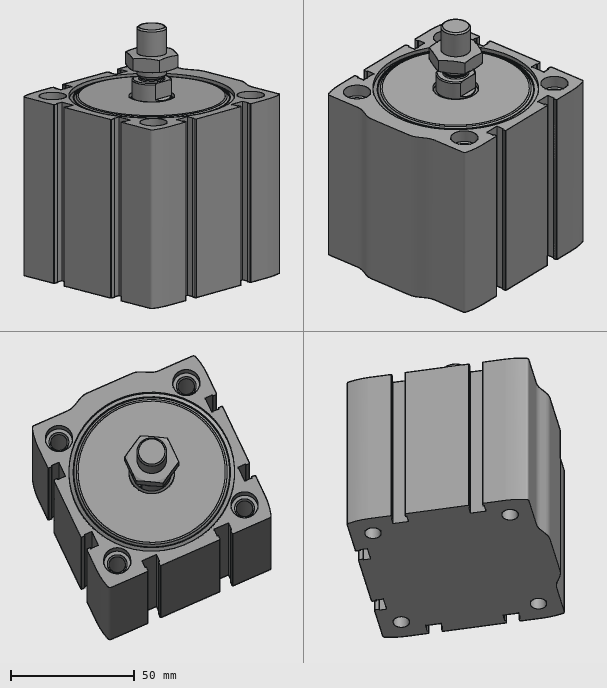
import cadquery as cq
import math


barrel_width = 75.0
barrel_height = 75.0
half_width = barrel_width / 2
crown_rise = 3.5
crown_half_flat = 11.8
crown_half_foot = 18.5
crown_blend_radius = 8.0
flank_start = 28.3
flank_inset = 1.45
corner_radius = 1.2

slot_offset = 16.0
slot_mouth = 5.4
slot_inner = 6.4
slot_depth = 5.0
slot_mouth_bevel = 0.3
side_slot_lip = 1.7
front_slot_lip = 2.0

bolt_spacing = 56.6
bolt_hole_diameter = 6.65
counterbore_diameter = 11.0
counterbore_depth = 5.0
countersink_diameter = 8.0

bore_diameter = 67.0
bore_wall_depth = 1.65
lip_outer_diameter = 63.6
lip_depth = 0.7
groove_diameter = 63.0
groove_depth = 1.25
bevel_outer_diameter = 61.0
bevel_depth = 0.35
cover_flat_diameter = 59.5
cover_recess = 0.1
wiper_diameter = 18.5
wiper_lip_depth = 0.6

rod_diameter = 16.0
rod_flats = 13.0
flats_bottom = barrel_height + 0.4
flats_runout_drop = 0.7
shoulder_top = 82.1
shoulder_chamfer = 0.5
neck_diameter = 9.8
neck_foot_diameter = 10.65
thread_diameter = 12.0
thread_end_diameter = 10.65
thread_start = 84.15
rod_tip = 104.0

nut_across_flats = 19.0
nut_bottom = 87.2
nut_height = 5.8
nut_bevel_angle = 15.0

cover_face = barrel_height - cover_recess
rod_seat = barrel_height - wiper_lip_depth


def revolved(points):
    """Solid of revolution about Z from a closed (radius, z) outline."""
    return cq.Workplane("XZ").polyline(points).close().revolve(360, (0, 0, 0), (0, 1, 0))


def barrel_blank():
    """Square extrusion with curved-in flanks and a raised crown on +Y."""
    corner_x = half_width - flank_inset
    crown_top = half_width + crown_rise

    run = half_width - flank_start
    flank_radius = (run ** 2 + flank_inset ** 2) / (2 * flank_inset)
    half_angle = math.asin(run / flank_radius) / 2
    mid_x = half_width - flank_radius * (1 - math.cos(half_angle))
    mid_y = flank_start + flank_radius * math.sin(half_angle)

    blank = (
        cq.Workplane("XY")
        .moveTo(-corner_x, -half_width)
        .lineTo(corner_x, -half_width)
        .threePointArc((mid_x, -mid_y), (half_width, -flank_start))
        .lineTo(half_width, flank_start)
        .threePointArc((mid_x, mid_y), (corner_x, half_width))
        .lineTo(crown_half_foot, half_width)
        .lineTo(crown_half_flat, crown_top)
        .lineTo(-crown_half_flat, crown_top)
        .lineTo(-crown_half_foot, half_width)
        .lineTo(-corner_x, half_width)
        .threePointArc((-mid_x, mid_y), (-half_width, flank_start))
        .lineTo(-half_width, -flank_start)
        .threePointArc((-mid_x, -mid_y), (-corner_x, -half_width))
        .close()
        .extrude(barrel_height)
    )
    roundings = (
        (corner_x, -half_width, corner_radius),
        (corner_x, half_width, corner_radius),
        (crown_half_foot, half_width, crown_blend_radius),
        (crown_half_flat, crown_top, crown_blend_radius),
    )
    for x, y, radius in roundings:
        for side in (-1, 1):
            edge = cq.selectors.NearestToPointSelector((side * x, y, barrel_height / 2))
            blank = blank.edges("|Z").edges(edge).fillet(radius)
    return blank


def slot_cutter(lip):
    """Full-height T-slot opening toward +X, centred on the X axis."""
    floor_x = half_width - slot_depth
    lip_x = half_width - lip
    bevel_x = half_width - slot_mouth_bevel
    half_mouth = slot_mouth / 2
    half_inner = slot_inner / 2
    half_opening = half_mouth + slot_mouth_bevel
    upper = [
        (floor_x, half_inner),
        (lip_x, half_inner),
        (lip_x, half_mouth),
        (bevel_x, half_mouth),
        (half_width, half_opening),
    ]
    lower = [(x, -y) for x, y in reversed(upper)]
    return cq.Workplane("XY").polyline(upper + lower).close().extrude(barrel_height)


def cut_slots(barrel):
    """Two slots on each of the -X, +X and -Y faces."""
    side_slot = slot_cutter(side_slot_lip)
    front_slot = slot_cutter(front_slot_lip).rotate((0, 0, 0), (0, 0, 1), -90)
    for side in (-1, 1):
        right_slot = side_slot.translate((0, side * slot_offset, 0))
        barrel = barrel.cut(right_slot)
        barrel = barrel.cut(right_slot.mirror("YZ"))
        barrel = barrel.cut(front_slot.translate((side * slot_offset, 0, 0)))
    return barrel


def cut_mounting_holes(barrel):
    """Counterbored through holes, the counterbore floor countersunk into the hole."""
    hole_radius = bolt_hole_diameter / 2
    countersink_radius = countersink_diameter / 2
    counterbore_radius = counterbore_diameter / 2
    floor_z = barrel_height - counterbore_depth
    cutter = revolved([
        (0, 0),
        (hole_radius, 0),
        (hole_radius, floor_z - (countersink_radius - hole_radius)),
        (countersink_radius, floor_z),
        (counterbore_radius, floor_z),
        (counterbore_radius, barrel_height),
        (0, barrel_height),
    ])
    for side_x in (-1, 1):
        for side_y in (-1, 1):
            barrel = barrel.cut(cutter.translate((side_x * bolt_spacing / 2, side_y * bolt_spacing / 2, 0)))
    return barrel


def cut_head_cover(barrel):
    """Sunken cover face with its retaining-ring grooves and the wiper groove round the rod."""
    rod_radius = rod_diameter / 2
    wiper_radius = wiper_diameter / 2
    recess = revolved([
        (0, barrel_height),
        (0, rod_seat),
        (rod_radius, rod_seat),
        (wiper_radius, rod_seat - (wiper_radius - rod_radius)),
        (wiper_radius, cover_face),
        (cover_flat_diameter / 2, cover_face),
        (bevel_outer_diameter / 2, barrel_height - bevel_depth),
        (groove_diameter / 2, barrel_height - groove_depth),
        (groove_diameter / 2, barrel_height - lip_depth),
        (lip_outer_diameter / 2, barrel_height - lip_depth),
        (bore_diameter / 2, barrel_height - bore_wall_depth),
        (bore_diameter / 2, barrel_height),
    ])
    return barrel.cut(recess)


def make_barrel():
    barrel = cut_slots(barrel_blank())
    barrel = cut_mounting_holes(barrel)
    return cut_head_cover(barrel)


def make_rod():
    """Rod standing on its seat inside the wiper groove, with wrench flats, relief neck and threaded end."""
    rod_radius = rod_diameter / 2
    neck_radius = neck_diameter / 2
    neck_foot_radius = neck_foot_diameter / 2
    thread_radius = thread_diameter / 2
    thread_end_radius = thread_end_diameter / 2
    thread_chamfer = thread_radius - thread_end_radius
    rod = revolved([
        (0, rod_seat),
        (rod_radius, rod_seat),
        (rod_radius, shoulder_top - shoulder_chamfer),
        (rod_radius - shoulder_chamfer, shoulder_top),
        (neck_foot_radius, shoulder_top),
        (neck_radius, shoulder_top + (neck_foot_radius - neck_radius)),
        (neck_radius, thread_start - (thread_radius - neck_radius)),
        (thread_radius, thread_start),
        (thread_radius, rod_tip - thread_chamfer),
        (thread_end_radius, rod_tip),
        (0, rod_tip),
    ])
    flat_x = rod_flats / 2
    flat_profile = [
        (flat_x, shoulder_top),
        (flat_x, flats_bottom),
        (rod_radius, flats_bottom - flats_runout_drop),
        (rod_radius, shoulder_top),
    ]
    flat_cutter = cq.Workplane("XZ").polyline(flat_profile).close().extrude(rod_radius, both=True)
    return rod.cut(flat_cutter).cut(flat_cutter.mirror("YZ"))


def make_nut():
    """Hex nut with two flats facing -X and +X and turned bevels on both faces."""
    across_corners = nut_across_flats / math.cos(math.radians(30))
    flat_radius = nut_across_flats / 2
    point_radius = across_corners / 2
    nut_top = nut_bottom + nut_height
    bevel_drop = (point_radius - flat_radius) * math.tan(math.radians(nut_bevel_angle))
    hexagon = (
        cq.Workplane("XY", origin=(0, 0, nut_bottom))
        .polygon(6, across_corners)
        .extrude(nut_height)
        .rotate((0, 0, 0), (0, 0, 1), 30)
    )
    turned_ring = revolved([
        (thread_diameter / 2, nut_bottom),
        (flat_radius, nut_bottom),
        (point_radius, nut_bottom + bevel_drop),
        (point_radius, nut_top - bevel_drop),
        (flat_radius, nut_top),
        (thread_diameter / 2, nut_top),
    ])
    return hexagon.intersect(turned_ring)


barrel_body = make_barrel()
rod_body = make_rod()
nut_body = make_nut()

result = cq.Compound.makeCompound([
    barrel_body.solids().val(),
    rod_body.solids().val(),
    nut_body.solids().val(),
])